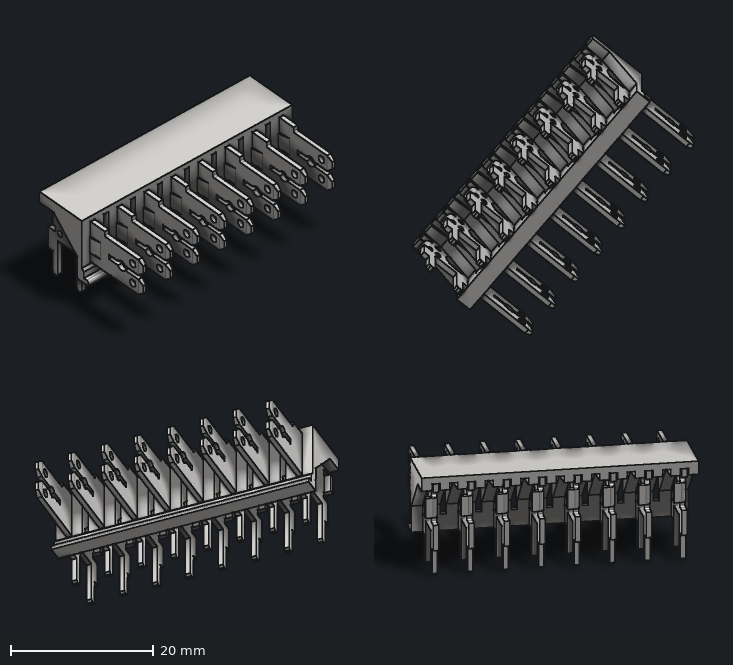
import cadquery as cq


HOUSING_LENGTH = 39.68
HOUSING_HEIGHT = 10.87
HOUSING_DEPTH = 9.0
ROOF_THICKNESS = 2.0
ROOF_OVERHANG = 3.05
WALL_INNER_X = 8.0
RAIL_X = 9.45
RAIL_BEVEL = RAIL_X - HOUSING_DEPTH
RAIL_TOP = 2.0
LEDGE_X = 10.45
LEDGE_HEIGHT = 0.87
LEDGE_RADIUS = 0.48

TERMINAL_COUNT = 8
PITCH = 5.08
SLOT_WIDTH = 0.87
SLOT_BOTTOM = 2.45
SLOT_TOP = 9.9
FLARE_WIDTH = 1.15
FLARE_LENGTH = ROOF_OVERHANG

THICKNESS = 0.8
HALF_THICKNESS = THICKNESS / 2
TIP_X = 20.0
BLADE_WIDTH = 6.3
BLADE_BOTTOM = 2.7
BLADE_TOP = BLADE_BOTTOM + BLADE_WIDTH
BLADE_AXIS_Z = BLADE_BOTTOM + BLADE_WIDTH / 2
SHOULDER_X = 12.02
SHOULDER_FILLET = 0.25
TIP_LENGTH = 0.9
TIP_CORNER = 0.7
TIP_THICKNESS = 0.5
SPLIT_X = 12.8
SPLIT_WIDTH = 0.75
SPLIT_BORE_X = 15.55
SPLIT_BORE_DIAMETER = 1.65
TIP_HOLE_X = 17.9
TIP_HOLE_SPACING = 3.5
TIP_HOLE_DIAMETER = 1.2

BODY_BOTTOM = -0.08
ARCH_TOP = 2.3
PIN_BOTTOM = -4.13
PIN_WIDTH = 1.1
PIN_CHAMFER = 0.3
REAR_PIN_X = 0.95
FRONT_PIN_X = 6.0
BODY_HOLE_X = 6.05
BODY_HOLE_Z = 5.95
BODY_HOLE_DIAMETER = 4.0

TAB_BOTTOM = 4.7
TAB_TOP = 7.6
TAB_REAR_X = 0.45
TAB_REACH = 1.0
NOTCH_HEIGHT = 1.0
NOTCH_DEPTH = 1.55
NOTCH_RADIUS = 0.25

DIMPLE_X = 2.55
DIMPLE_HEIGHTS = (3.9, 7.02)
DIMPLE_DIAMETER = 1.0
DIMPLE_RISE = 0.2
LANCE_START_X = 9.1
LANCE_END_X = 11.07
LANCE_RISE = 0.28
LANCE_START_WIDTH = 2.7
LANCE_END_WIDTH = 2.98


def plate(outline, thickness):
    """Extrude a closed XZ outline, centred on Y = 0."""
    return outline.extrude(thickness / 2, both=True)


def block(x_min, x_max, y_min, y_max, z_min, z_max):
    size = (x_max - x_min, y_max - y_min, z_max - z_min)
    return cq.Workplane("XY").box(*size, centered=False).translate((x_min, y_min, z_min))


def positions(count):
    """Y places of a centred row at the terminal pitch."""
    return [(i - (count - 1) / 2) * PITCH for i in range(count)]



def make_slot():
    """Flared cutter for one slot, running along X through the whole housing."""
    half_slot = SLOT_WIDTH / 2
    half_mouth = FLARE_WIDTH / 2
    return (
        cq.Workplane("XY", origin=(0, 0, SLOT_BOTTOM))
        .polyline([
            (0, -half_mouth),
            (FLARE_LENGTH, -half_slot),
            (HOUSING_DEPTH, -half_slot),
            (HOUSING_DEPTH, half_slot),
            (FLARE_LENGTH, half_slot),
            (0, half_mouth),
        ])
        .close()
        .extrude(SLOT_TOP - SLOT_BOTTOM)
    )


def make_housing():
    """Angled cover: thick roof, sloped corner and front wall with a ledge at its foot."""
    roof_bottom = HOUSING_HEIGHT - ROOF_THICKNESS
    slope_bottom = roof_bottom - (WALL_INNER_X - ROOF_OVERHANG)
    outline = cq.Workplane("XZ").polyline([
        (0, HOUSING_HEIGHT),
        (HOUSING_DEPTH, HOUSING_HEIGHT),
        (HOUSING_DEPTH, RAIL_TOP + RAIL_BEVEL),
        (RAIL_X, RAIL_TOP),
        (RAIL_X, LEDGE_HEIGHT),
        (LEDGE_X, LEDGE_HEIGHT),
        (LEDGE_X, 0),
        (WALL_INNER_X, 0),
        (WALL_INNER_X, slope_bottom),
        (ROOF_OVERHANG, roof_bottom),
        (0, roof_bottom),
    ]).close()
    housing = plate(outline, HOUSING_LENGTH)
    ledge_corner = cq.selectors.NearestToPointSelector((LEDGE_X, 0, LEDGE_HEIGHT))
    housing = housing.edges("|Y").edges(ledge_corner).fillet(LEDGE_RADIUS)
    slot = make_slot()
    for y in positions(TERMINAL_COUNT) + positions(TERMINAL_COUNT - 1):
        housing = housing.cut(slot.translate((0, y, 0)))
    return housing



def make_blade():
    """Flat blade: shouldered strip with bevelled tip corners, slit, bore and tip holes."""
    tip_start = TIP_X - TIP_LENGTH
    split_top = BLADE_AXIS_Z + SPLIT_WIDTH / 2
    split_bottom = BLADE_AXIS_Z - SPLIT_WIDTH / 2
    outline = cq.Workplane("XZ").polyline([
        (0, BLADE_BOTTOM),
        (tip_start, BLADE_BOTTOM),
        (TIP_X, BLADE_BOTTOM + TIP_CORNER),
        (TIP_X, split_bottom - TIP_CORNER),
        (tip_start, split_bottom),
        (SPLIT_X, split_bottom),
        (SPLIT_X, split_top),
        (tip_start, split_top),
        (TIP_X, split_top + TIP_CORNER),
        (TIP_X, BLADE_TOP - TIP_CORNER),
        (tip_start, BLADE_TOP),
        (SHOULDER_X, BLADE_TOP),
        (SHOULDER_X, SLOT_TOP),
        (0, SLOT_TOP),
    ]).close()
    blade = plate(outline, THICKNESS)
    shoulder_corner = cq.selectors.NearestToPointSelector((SHOULDER_X, 0, BLADE_TOP))
    blade = blade.edges("|Y").edges(shoulder_corner).fillet(SHOULDER_FILLET)

    bore = cq.Workplane("XZ").center(SPLIT_BORE_X, BLADE_AXIS_Z).circle(SPLIT_BORE_DIAMETER / 2)
    tip_holes = (
        cq.Workplane("XZ")
        .center(TIP_HOLE_X, BLADE_AXIS_Z)
        .pushPoints([(0, -TIP_HOLE_SPACING / 2), (0, TIP_HOLE_SPACING / 2)])
        .circle(TIP_HOLE_DIAMETER / 2)
    )
    blade = blade.cut(plate(bore, THICKNESS)).cut(plate(tip_holes, THICKNESS))

    envelope = (
        cq.Workplane("XY", origin=(0, 0, BLADE_BOTTOM))
        .polyline([
            (0, -HALF_THICKNESS),
            (tip_start, -HALF_THICKNESS),
            (TIP_X, -TIP_THICKNESS / 2),
            (TIP_X, TIP_THICKNESS / 2),
            (tip_start, HALF_THICKNESS),
            (0, HALF_THICKNESS),
        ])
        .close()
        .extrude(SLOT_TOP - BLADE_BOTTOM)
    )
    return blade.intersect(envelope)


def make_pin(x_start):
    """Solder pin with bevelled tip corners."""
    pin = block(x_start, x_start + PIN_WIDTH, -HALF_THICKNESS, HALF_THICKNESS, PIN_BOTTOM, ARCH_TOP)
    return pin.edges("|Y and <Z").chamfer(PIN_CHAMFER)


def make_body():
    """Flat body behind the blade, with its shoulders and two solder pins."""
    rear_pin_end = REAR_PIN_X + PIN_WIDTH
    half = HALF_THICKNESS
    body = block(0, WALL_INNER_X, -half, half, ARCH_TOP, SLOT_TOP)
    body = body.union(block(0, rear_pin_end, -half, half, BODY_BOTTOM, ARCH_TOP))
    body = body.union(block(FRONT_PIN_X, WALL_INNER_X, -half, half, BODY_BOTTOM, ARCH_TOP))
    for pin_x in (REAR_PIN_X, FRONT_PIN_X):
        body = body.union(make_pin(pin_x))
    return body


def make_notch(z_bottom):
    """Relief notch cutter with rounded inner corners, open at the rear."""
    notch = block(0, NOTCH_DEPTH, -HALF_THICKNESS, HALF_THICKNESS, z_bottom, z_bottom + NOTCH_HEIGHT)
    return notch.edges("|Y and >X").fillet(NOTCH_RADIUS)


def make_bent_tab():
    """Tab turned towards +Y, round on the outside of the bend."""
    tab = block(
        TAB_REAR_X, TAB_REAR_X + THICKNESS,
        -HALF_THICKNESS, HALF_THICKNESS + TAB_REACH,
        TAB_BOTTOM, TAB_TOP,
    )
    bend = cq.Workplane("XY", origin=(0, 0, TAB_BOTTOM))
    bend = bend.center(TAB_REAR_X + THICKNESS, HALF_THICKNESS).circle(THICKNESS)
    bend = bend.extrude(TAB_TOP - TAB_BOTTOM)
    corner = block(
        TAB_REAR_X, TAB_REAR_X + THICKNESS,
        -HALF_THICKNESS, HALF_THICKNESS,
        TAB_BOTTOM, TAB_TOP,
    )
    return tab.cut(corner.cut(bend))


def make_dimple(z):
    """Round spherical cap standing on the -Y face, with a stub reaching into the plate."""
    rim_radius = DIMPLE_DIAMETER / 2
    sphere_radius = (rim_radius**2 + DIMPLE_RISE**2) / (2 * DIMPLE_RISE)
    return (
        cq.Workplane("XY", origin=(DIMPLE_X, 0, z))
        .lineTo(rim_radius, 0)
        .lineTo(rim_radius, -HALF_THICKNESS)
        .radiusArc((0, -HALF_THICKNESS - DIMPLE_RISE), sphere_radius)
        .close()
        .revolve(360, (0, 0, 0), (0, 1, 0))
    )


def make_lance():
    """Locking wedge on the -Y face, highest next to the front wall of the housing."""
    wedge = (
        cq.Workplane("XY", origin=(0, 0, BLADE_BOTTOM))
        .polyline([
            (LANCE_START_X, 0),
            (LANCE_START_X, -HALF_THICKNESS - LANCE_RISE),
            (LANCE_END_X, -HALF_THICKNESS),
            (LANCE_END_X, 0),
        ])
        .close()
        .extrude(BLADE_WIDTH)
    )
    face = cq.Workplane("XZ").polyline([
        (LANCE_START_X, BLADE_AXIS_Z - LANCE_START_WIDTH / 2),
        (LANCE_END_X, BLADE_AXIS_Z - LANCE_END_WIDTH / 2),
        (LANCE_END_X, BLADE_AXIS_Z + LANCE_END_WIDTH / 2),
        (LANCE_START_X, BLADE_AXIS_Z + LANCE_START_WIDTH / 2),
    ]).close()
    return wedge.intersect(plate(face, 2 * (HALF_THICKNESS + LANCE_RISE)))


def make_terminal():
    """One terminal at Y = 0: blade, body, bent tab, dimples and lance in a single solid."""
    terminal = make_blade().union(make_body())
    body_hole = cq.Workplane("XZ").center(BODY_HOLE_X, BODY_HOLE_Z).circle(BODY_HOLE_DIAMETER / 2)
    terminal = terminal.cut(plate(body_hole, THICKNESS))

    rear_gap = block(
        0, TAB_REAR_X + THICKNESS,
        -HALF_THICKNESS, HALF_THICKNESS,
        TAB_BOTTOM, TAB_TOP,
    )
    terminal = terminal.cut(rear_gap).union(make_bent_tab())
    for notch_z in (TAB_BOTTOM - NOTCH_HEIGHT, TAB_TOP):
        terminal = terminal.cut(make_notch(notch_z))

    for dimple_z in DIMPLE_HEIGHTS:
        terminal = terminal.union(make_dimple(dimple_z))
    return terminal.union(make_lance())


housing = make_housing()
terminal = make_terminal()
terminals = [terminal.translate((0, y, 0)) for y in positions(TERMINAL_COUNT)]

result = cq.Compound.makeCompound([housing.val(), *[copy.val() for copy in terminals]])